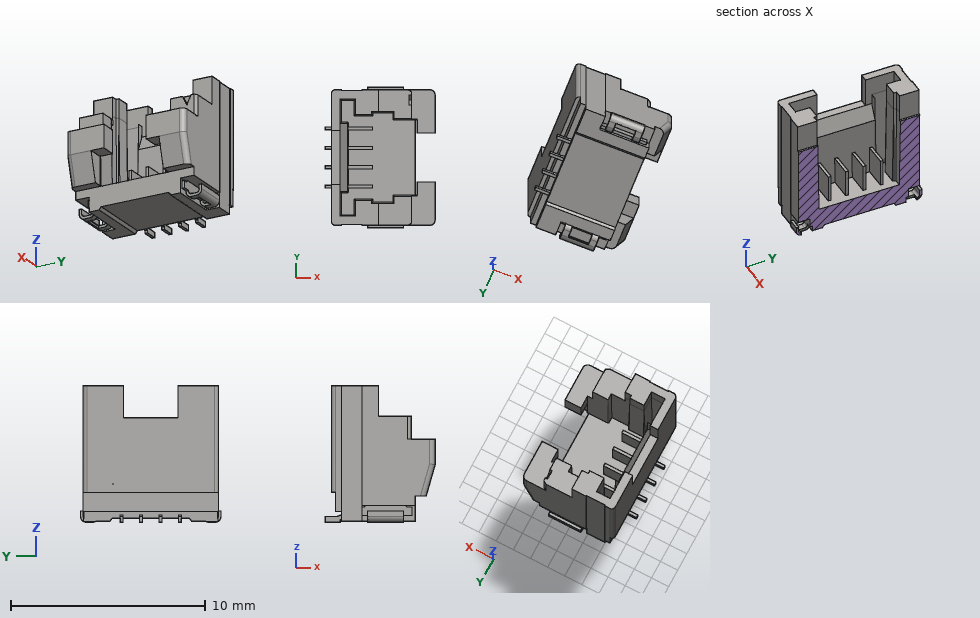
import cadquery as cq
import math


body_half_width = 3.5
body_front = 4.33
top_z = 7.05
base_z = 0.05
back_wall_bottom_z = 1.545
back_corner_radius = 0.21
back_ledge_bottom_z = 0.56
base_back = 0.515
first_step_x = 2.435
first_step_z = 5.48
second_step_x = 4.13
second_step_z = 4.29
step_chamfer_x = 0.2
step_chamfer_y = 0.115

recess_front = 1.595
recess_half_width = 3.46

undercut_z = 0.87
undercut_half_width = 2.7

channel_half_width = 2.11
channel_top_half_width = 1.99
channel_top_z = 0.21

floor_z = 1.35
draft_start_z = 5.975
draft_inset = 0.07
cavity_back = 0.46
rib_front = 0.81
rib_half_width = 1.755
rib_top_drop = 0.94
key_half_width = 3.02
key_front = 1.25
waist_half_width = 2.205
waist_front = 2.08
bay_half_width = 2.37
bay_front = 3.25
mouth_half_width = 2.01

notch_half_width = 1.39
notch_z = 5.395

arm_front = 5.36
arm_slope_z = 2.97
arm_foot_front = 4.895
arm_corner_radius = 0.29
hook_back = 4.42
hook_half_gap = 1.255

mark_y = 2.965
mark_width = 0.52
mark_height = 0.52
mark_depth = 0.115

contact_count = 4
contact_pitch = 1.0
contact_width = 0.16
tail_tip = -0.31
tail_top_z = 0.305
tail_bend_x = 0.28
tail_heel_x = 0.47
lead_bottom_z = 0.145
lead_top_z = 0.39
blade_front = 2.13
blade_top_z = 2.9

clip_half_span = 3.625
clip_thickness = 0.15
clip_bend_radius = 0.305
clip_lip_top_z = 0.59
clip_back = 1.87
clip_front = 3.735
clip_leg_width = 0.38
plate_half_length = 1.355
plate_bottom_z = 0.355
plate_shoulder_z = 0.78
plate_tongue_half_length = 1.03
plate_bevel = 0.09


def box(x_range, y_range, z_range):
    """Box between two limits along each axis."""
    size = [high - low for low, high in (x_range, y_range, z_range)]
    return cq.Workplane("XY").box(*size, centered=False).translate((x_range[0], y_range[0], z_range[0]))


def centred_box(x_range, half_width, z_range):
    """Box symmetric about Y = 0."""
    return box(x_range, (-half_width, half_width), z_range)


def side_profile(points, half_width):
    """Extrude an X-Z outline symmetrically about Y = 0."""
    return cq.Workplane("XZ").polyline(points).close().extrude(half_width, both=True)


def make_shell():
    """Outside of the housing without the latch arms."""
    back_wall = centred_box((0, first_step_x), body_half_width, (back_wall_bottom_z, top_z))
    back_wall = back_wall.edges("|Z and <X").fillet(back_corner_radius)
    lower_back = centred_box(
        (back_corner_radius, first_step_x), body_half_width, (back_ledge_bottom_z, back_wall_bottom_z)
    )
    block = side_profile(
        [
            (base_back, base_z),
            (body_front, base_z),
            (body_front, second_step_z),
            (second_step_x, second_step_z),
            (second_step_x, first_step_z),
            (base_back, first_step_z),
        ],
        body_half_width,
    )
    shell = block.union(back_wall).union(lower_back)

    for side in (-1, 1):
        corner = (
            cq.Workplane("XY", origin=(0, 0, second_step_z))
            .moveTo(second_step_x, side * body_half_width)
            .lineTo(second_step_x - step_chamfer_x, side * body_half_width)
            .lineTo(second_step_x, side * (body_half_width - step_chamfer_y))
            .close()
            .extrude(first_step_z - second_step_z)
        )
        recess = box(
            (base_back, recess_front),
            sorted((side * recess_half_width, side * clip_half_span)),
            (0, top_z),
        )
        undercut = box(
            (recess_front, body_front),
            sorted((side * undercut_half_width, side * clip_half_span)),
            (0, undercut_z),
        )
        shell = shell.cut(corner).cut(recess).cut(undercut)
    return shell


def make_cavity():
    """Space for the mating plug, open at the top and at the front."""
    half_outline = [
        (rib_front, rib_half_width),
        (cavity_back, rib_half_width),
        (cavity_back, key_half_width),
        (key_front, key_half_width),
        (key_front, waist_half_width),
        (waist_front, waist_half_width),
        (waist_front, bay_half_width),
        (bay_front, bay_half_width),
        (bay_front, mouth_half_width),
        (arm_front, mouth_half_width),
    ]
    outline = half_outline + [(x, -y) for x, y in reversed(half_outline)]
    plan = cq.Sketch().polygon(outline + outline[:1])
    rim_plane = cq.Workplane("XY", origin=(0, 0, draft_start_z))
    draft_depth = draft_start_z - floor_z
    draft_angle = math.degrees(math.atan2(draft_inset, draft_depth))
    rim = rim_plane.placeSketch(plan).extrude(top_z - draft_start_z)
    drafted = rim_plane.placeSketch(plan).extrude(-draft_depth, taper=draft_angle)

    above_rib = side_profile(
        [
            (cavity_back, notch_z),
            (rib_front + draft_inset, notch_z - rib_top_drop),
            (rib_front + draft_inset, top_z),
            (cavity_back, top_z),
        ],
        rib_half_width,
    )
    return rim.union(drafted).union(above_rib)


def make_channel():
    """Channel with sloping sides along the underside."""
    return (
        cq.Workplane("YZ")
        .polyline(
            [
                (-channel_half_width, base_z),
                (channel_half_width, base_z),
                (channel_top_half_width, channel_top_z),
                (-channel_top_half_width, channel_top_z),
            ]
        )
        .close()
        .extrude(body_front)
    )


def make_contact_mark():
    """Triangle pointing down in the front face of the upper step."""
    return (
        cq.Workplane("YZ", origin=(second_step_x - mark_depth, mark_y, first_step_z))
        .polyline([(-mark_width / 2, 0), (mark_width / 2, 0), (0, -mark_height)])
        .close()
        .extrude(mark_depth)
    )


def make_arms(cavity):
    """Pair of arms with inward hooks; the cavity continues between them up to the hooks."""
    arms = side_profile(
        [
            (body_front, floor_z),
            (arm_foot_front, floor_z),
            (arm_front, arm_slope_z),
            (arm_front, second_step_z),
            (body_front, second_step_z),
        ],
        body_half_width,
    )
    arms = arms.edges("(|Z and >X) or (not (|X or |Y or |Z))").fillet(arm_corner_radius)
    behind_hooks = cavity.intersect(
        centred_box((body_front, hook_back), body_half_width, (floor_z, second_step_z))
    )
    below_hooks = centred_box((hook_back, arm_front), mouth_half_width, (floor_z, arm_slope_z))
    between_hooks = centred_box((body_front, arm_front), hook_half_gap, (floor_z, second_step_z))
    return arms.cut(behind_hooks).cut(below_hooks).cut(between_hooks)


def make_contact():
    """Contact with a solder tail behind and a blade in the cavity."""
    return side_profile(
        [
            (tail_tip, 0),
            (tail_heel_x, 0),
            (tail_heel_x, lead_bottom_z),
            (base_back, lead_bottom_z),
            (base_back, channel_top_z),
            (blade_front, channel_top_z),
            (blade_front, blade_top_z),
            (cavity_back, blade_top_z),
            (cavity_back, back_wall_bottom_z),
            (base_back, back_wall_bottom_z),
            (base_back, lead_top_z),
            (tail_bend_x, tail_top_z),
            (tail_tip, tail_top_z),
        ],
        contact_width / 2,
    )


def make_clip():
    """Solder clip on the -Y side: outer lip, two J-shaped legs and a retaining plate."""
    plate_y = undercut_half_width
    strip = (
        box((clip_back, clip_front), (-clip_half_span, -plate_y), (0, clip_lip_top_z))
        .edges("|X and <Z")
        .fillet(clip_bend_radius)
    )
    inside = (
        box(
            (clip_back, clip_front),
            (-clip_half_span + clip_thickness, -plate_y - clip_thickness),
            (clip_thickness, 2 * clip_lip_top_z),
        )
        .edges("|X and <Z")
        .fillet(clip_bend_radius - clip_thickness)
    )
    between_legs = box(
        (clip_back + clip_leg_width, clip_front - clip_leg_width),
        (-clip_half_span + clip_bend_radius, -plate_y),
        (0, plate_bottom_z),
    )

    bevel_end = plate_tongue_half_length + plate_bevel
    half_plate = [
        (plate_half_length, plate_bottom_z),
        (plate_half_length, plate_shoulder_z),
        (bevel_end, plate_shoulder_z),
        (plate_tongue_half_length, plate_shoulder_z + plate_bevel),
    ]
    plate_outline = half_plate + [(-x, z) for x, z in reversed(half_plate)]
    plate = (
        cq.Workplane("XZ", origin=((clip_back + clip_front) / 2, -plate_y, 0))
        .polyline(plate_outline)
        .close()
        .extrude(clip_thickness)
    )
    return strip.cut(inside).cut(between_legs).union(plate)


notch = centred_box((0, cavity_back), notch_half_width, (notch_z, top_z))
cavity = make_cavity()
result = make_shell().cut(cavity).cut(make_channel()).cut(notch).cut(make_contact_mark())
result = result.union(make_arms(cavity))

for index in range(contact_count):
    contact_y = (index - (contact_count - 1) / 2) * contact_pitch
    result = result.union(make_contact().translate((0, contact_y, 0)))

clip = make_clip()
result = result.union(clip).union(clip.mirror("XZ"))